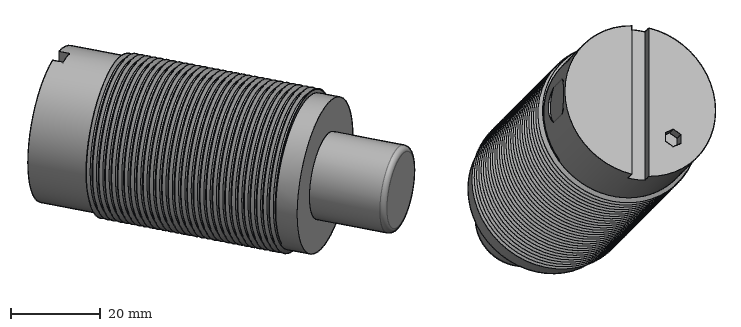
import cadquery as cq
import math

total_length = 82.0
head_length = 13.9
body_length = 64.05
body_diameter = 35.7
pin_diameter = 20.0
pin_edge_radius = 1.2

thread_diameter = 37.6
thread_pitch = 1.5
thread_turns = 30
thread_length = thread_pitch * thread_turns
ridge_base_width = 1.1
ridge_sink = 0.2

slot_width = 4.0
slot_depth = 2.55

socket_offset = 7.8
socket_flats = 3.6
socket_depth = 2.5

side_recess_diameter = 10.0
side_recess_x = 6.0
side_recess_depth = 0.5

body_radius = body_diameter / 2
thread_radius = thread_diameter / 2


def cylinder_x(start, length, diameter):
    """Solid cylinder along X beginning at the given X."""
    return cq.Workplane("YZ", origin=(start, 0, 0)).circle(diameter / 2).extrude(length)


def make_body():
    pin = cylinder_x(body_length, total_length - body_length, pin_diameter)
    pin = pin.faces(">X").edges().fillet(pin_edge_radius)
    return cylinder_x(0, body_length, body_diameter).union(pin)


def make_thread_ridge():
    """V-shaped helical ridge, built along Z, turned onto X and cut square at both ends."""
    root_radius = body_radius - ridge_sink
    slope = ridge_base_width / 2 / (thread_radius - body_radius)
    half_base = slope * (thread_radius - root_radius)
    helix = cq.Wire.makeHelix(thread_pitch, thread_length + 2 * thread_pitch, root_radius)
    ridge = (
        cq.Workplane("XZ")
        .polyline([(root_radius, -half_base), (thread_radius, 0), (root_radius, half_base)])
        .close()
        .sweep(cq.Workplane(helix), isFrenet=True)
    )
    ridge = ridge.rotate((0, 0, 0), (0, 1, 0), 90).rotate((0, 0, 0), (1, 0, 0), 180)
    ridge = ridge.translate((head_length - thread_pitch, 0, 0))
    end_limits = cylinder_x(head_length, thread_length, 2 * thread_diameter)
    return ridge.intersect(end_limits)


def make_slot():
    return cq.Workplane("XY").box(2 * slot_depth, slot_width, 2 * body_diameter)


def make_socket():
    """Hexagonal prism with two corners pointing along Z."""
    corner_diameter = socket_flats / math.cos(math.pi / 6)
    return (
        cq.Workplane("YZ", origin=(0, -socket_offset, -socket_offset))
        .transformed(rotate=(0, 0, 90))
        .polygon(6, corner_diameter)
        .extrude(socket_depth)
    )


def make_side_recess():
    return (
        cq.Workplane("XZ", origin=(side_recess_x, body_radius, 0))
        .circle(side_recess_diameter / 2)
        .extrude(side_recess_depth)
    )


body = make_body().cut(make_slot()).cut(make_socket()).cut(make_side_recess())
result = body.union(make_thread_ridge())